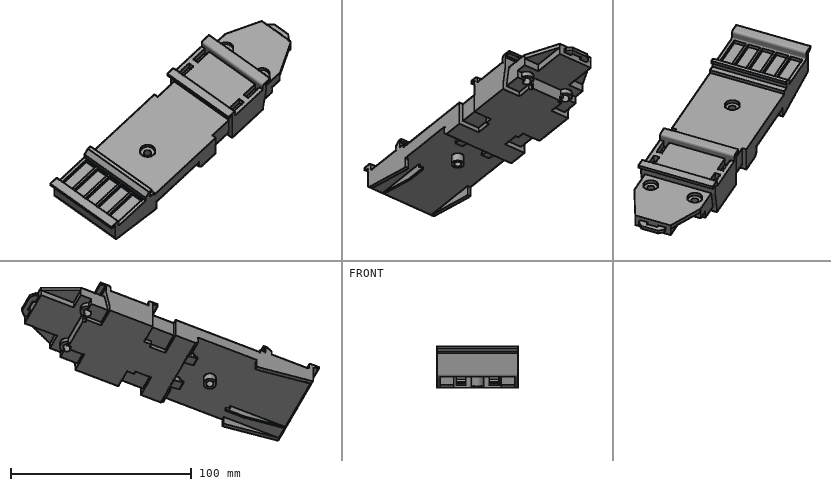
import cadquery as cq

body_width = 45.0
neck_width = 40.1
plate_top = 14.7
plate_bottom = 6.0
rail_seat_rear = 73.8
rail_seat_front = 38.0
shoulder_y = 87.7

bay_front = 101.5
bay_rear = 130.0
bay_floor = 18.7
bay_lip_top = 23.0
bay_lip_thickness = 1.7
bay_front_lip_reach = 3.0
bay_rear_lip_reach = 3.5
bay_lip_chamfer = 0.7
bay_wall = 2.7
bay_slant = 2.2
lip_radius = 1.5

neck_rear = 138.0
foot_height = 3.0
wide_foot_width = 22.3
wide_foot_front = 97.1
wide_foot_rear = 136.5
narrow_foot_width = 18.5

taper_start = 144.5
nose_end = 164.4
nose_tip_width = 21.4
nose_bottom = 7.6
nose_plate_bottom = 12.1
tab_bottom = 10.1
tab_end = 168.6
tab_width = 15.5
tab_chamfer_x = 2.7
tab_chamfer_y = 2.4
tab_slot_width = 6.2
tab_slot_end = 165.9

tail_front = 3.4
tail_rear = 35.9
tail_floor = 16.7
tail_fillet = 1.0
tail_lip_top = 21.7
tail_lip_rear = 6.0
tail_lip_edge = 20.4
tail_lip_bend = (2.0, 19.7)
tail_lip_root = 19.2
tail_nose_bottom = 5.9
tail_corner_radius = 1.7
tail_slope_end = 36.0
end_wall = 2.0

hook_lip_tip = 33.9
hook_lip_rear = 32.7
hook_lip_front = 28.8
hook_lip_crest = 31.7
hook_lip_under = 20.0
hook_lip_shoulder = 19.2

seat_chamfer = 1.7
hook_recess_width = 26.3

pocket_count = 5
pocket_gap = 1.43
pocket_width = 7.0
pocket_front = tail_lip_rear + tail_fillet
pocket_rear = 28.2
pocket_depth = 2.0

slot_outer_x = neck_width / 2
slot_width = 3.2
slot_depth = 4.0
slot_spans = ((bay_front + bay_wall, 114.0), (117.7, bay_rear - bay_wall))

hole_diameter = 4.0
counterbore_diameter = 8.5
counterbore_depth = 2.0
rear_screw_x = 13.3
rear_screw_y = 137.2
rear_boss_diameter = 7.8
rear_boss_bottom = 4.5
front_screw_y = 56.1
front_boss_diameter = 6.9
front_boss_bottom = 1.0

spring_hook_width = 5.0
spring_hook_x = 9.1
spring_hook_reach = 4.7
spring_hook_neck = 2.4
spring_hook_bend = (2.0, 4.7)
spring_hook_tip_top = 3.5
spring_hook_tip_bottom = 2.5
spring_hook_root_bottom = 1.5
fixed_hook_width = 1.0
fixed_hook_x = 12.6
fixed_hook_reach = 2.7
fixed_hook_bottom = 1.3
fixed_hook_tip_top = 2.7
fixed_hook_root_top = 4.0


def box(x0, x1, y0, y1, z0, z1):
    """Axis-aligned block between two opposite corners."""
    return cq.Workplane("XY").box(x1 - x0, y1 - y0, z1 - z0, centered=False).translate((x0, y0, z0))


def centered_box(width, y0, y1, z0, z1):
    """Block centred on X = 0."""
    return box(-width / 2, width / 2, y0, y1, z0, z1)


def across(sketch, width, x_center=0):
    """Extrude a closed (Y, Z) outline along X, centred on x_center."""
    return sketch.close().extrude(width / 2, both=True).translate((x_center, 0, 0))


def side_outline(points):
    """Open outline through (Y, Z) points."""
    return cq.Workplane("YZ").polyline(points)


def round_post(x, y, diameter, z0, z1):
    """Vertical cylinder."""
    return cq.Workplane("XY", origin=(x, y, z0)).circle(diameter / 2).extrude(z1 - z0)


def front_body():
    """Full-width plate with the front lip, the hooked lip and the sloping underside."""
    outline = (
        cq.Workplane("YZ")
        .moveTo(shoulder_y, 0)
        .lineTo(shoulder_y, plate_top)
        .lineTo(tail_rear, plate_top)
        .lineTo(tail_rear, tail_floor)
        .lineTo(hook_lip_rear, tail_floor)
        .lineTo(hook_lip_rear, hook_lip_under)
        .lineTo(hook_lip_tip, hook_lip_under)
        .lineTo(hook_lip_tip, tail_lip_top)
        .lineTo(hook_lip_crest, tail_lip_top)
        .lineTo(hook_lip_front, hook_lip_shoulder)
        .lineTo(hook_lip_front, tail_floor)
        .lineTo(tail_lip_rear + tail_fillet, tail_floor)
        .radiusArc((tail_lip_rear, tail_floor + tail_fillet), tail_fillet)
        .lineTo(tail_lip_rear, tail_lip_top - lip_radius)
        .radiusArc((tail_lip_rear - lip_radius, tail_lip_top), -lip_radius)
        .lineTo(0, tail_lip_top)
        .lineTo(0, tail_lip_edge)
        .lineTo(*tail_lip_bend)
        .lineTo(tail_front, tail_lip_root)
        .lineTo(tail_front, tail_nose_bottom + tail_corner_radius)
        .radiusArc((tail_front + tail_corner_radius, tail_nose_bottom), -tail_corner_radius)
        .lineTo(tail_slope_end, 0)
        .lineTo(rail_seat_front, 0)
        .lineTo(rail_seat_front, plate_bottom)
        .lineTo(rail_seat_rear, plate_bottom)
        .lineTo(rail_seat_rear, seat_chamfer)
        .lineTo(rail_seat_rear + seat_chamfer, 0)
    )
    return across(outline, body_width)


def underside_openings():
    """Hollow under the tail between its end walls, and the recess behind the spring hooks."""
    tail_hollow = centered_box(body_width - 2 * end_wall, tail_front, rail_seat_front, 0, plate_bottom)
    recess_end = rail_seat_rear + seat_chamfer
    hook_recess = centered_box(hook_recess_width, rail_seat_rear, recess_end, 0, plate_bottom)
    return tail_hollow.union(hook_recess)


def bay():
    """Full-width middle block with a lip along its front and rear edges."""
    lip_under = bay_lip_top - bay_lip_thickness
    outline = (
        cq.Workplane("YZ")
        .moveTo(bay_front, 0)
        .lineTo(bay_front, lip_under)
        .lineTo(bay_front - bay_front_lip_reach, lip_under)
        .lineTo(bay_front - bay_front_lip_reach, bay_lip_top)
        .lineTo(bay_front + bay_wall - lip_radius, bay_lip_top)
        .radiusArc((bay_front + bay_wall, bay_lip_top - lip_radius), lip_radius)
        .lineTo(bay_front + bay_wall, bay_floor)
        .lineTo(bay_rear - bay_wall, bay_floor)
        .lineTo(bay_rear - bay_wall, bay_lip_top - lip_radius)
        .radiusArc((bay_rear - bay_wall + lip_radius, bay_lip_top), lip_radius)
        .lineTo(bay_rear + bay_rear_lip_reach, bay_lip_top)
        .lineTo(bay_rear + bay_rear_lip_reach, lip_under)
        .lineTo(bay_rear + bay_lip_chamfer, lip_under)
        .lineTo(bay_rear, lip_under - bay_lip_chamfer)
        .lineTo(bay_rear, plate_top)
        .lineTo(bay_rear - bay_slant, foot_height)
        .lineTo(bay_rear - bay_slant, 0)
    )
    return across(outline, body_width)


def neck():
    """Narrower core through the bay, standing on an inset two-step foot."""
    core = centered_box(neck_width, shoulder_y, neck_rear, foot_height, plate_top)
    wide_foot = centered_box(wide_foot_width, wide_foot_front, wide_foot_rear, 0, foot_height)
    narrow_foot = centered_box(narrow_foot_width, shoulder_y, neck_rear, 0, foot_height)
    return core.union(wide_foot).union(narrow_foot)


def nose():
    """Tapered plate over a straight beam, ending in a slotted tab."""
    root = centered_box(neck_width, neck_rear, taper_start, nose_bottom, plate_top)
    beam = centered_box(nose_tip_width, taper_start, nose_end, nose_bottom, nose_plate_bottom)
    plate = (
        cq.Workplane("XY", origin=(0, 0, nose_plate_bottom))
        .polyline([
            (-neck_width / 2, taper_start),
            (neck_width / 2, taper_start),
            (nose_tip_width / 2, nose_end),
            (-nose_tip_width / 2, nose_end),
        ])
        .close()
        .extrude(plate_top - nose_plate_bottom)
    )
    tab = (
        cq.Workplane("XY", origin=(0, 0, tab_bottom))
        .polyline([
            (-tab_width / 2, nose_end),
            (tab_width / 2, nose_end),
            (tab_width / 2, tab_end - tab_chamfer_y),
            (tab_width / 2 - tab_chamfer_x, tab_end),
            (tab_chamfer_x - tab_width / 2, tab_end),
            (-tab_width / 2, tab_end - tab_chamfer_y),
        ])
        .close()
        .extrude(nose_plate_bottom - tab_bottom)
        .cut(centered_box(tab_slot_width, nose_end, tab_slot_end, tab_bottom, nose_plate_bottom))
    )
    return root.union(beam).union(plate).union(tab)


def spring_hooks():
    """Pair of hooks that grip the mounting rail from the rear of its seat."""
    root = rail_seat_rear + seat_chamfer
    tip = rail_seat_rear - spring_hook_reach
    profile = [
        (root, plate_bottom),
        (tip + spring_hook_neck, plate_bottom),
        (tip + spring_hook_bend[0], spring_hook_bend[1]),
        (tip, spring_hook_tip_top),
        (tip, spring_hook_tip_bottom),
        (root, spring_hook_root_bottom),
    ]
    hook = across(side_outline(profile), spring_hook_width)
    return hook.translate((-spring_hook_x, 0, 0)).union(hook.translate((spring_hook_x, 0, 0)))


def fixed_hook():
    """Thin rib under the tail that follows its slope and ends in a hook at the front of the rail seat."""
    slope = tail_nose_bottom / (tail_slope_end - tail_front - tail_corner_radius)
    tip = rail_seat_front + fixed_hook_reach
    profile = [
        (tail_front + tail_corner_radius, plate_bottom),
        (tail_front + tail_corner_radius, tail_nose_bottom),
        (tail_slope_end - fixed_hook_bottom / slope, fixed_hook_bottom),
        (tip, fixed_hook_bottom),
        (tip, fixed_hook_tip_top),
        (rail_seat_front, fixed_hook_root_top),
        (rail_seat_front, plate_bottom),
    ]
    return across(side_outline(profile), fixed_hook_width, fixed_hook_x)


def bay_slots():
    """Four slots in the bay floor, two along each side."""
    slots = None
    for y0, y1 in slot_spans:
        for x0 in (-slot_outer_x, slot_outer_x - slot_width):
            slot = box(x0, x0 + slot_width, y0, y1, bay_floor - slot_depth, bay_floor)
            slots = slot if slots is None else slots.union(slot)
    return slots


def marking_pockets():
    """Row of shallow pockets in the tail floor."""
    pockets = None
    for index in range(pocket_count):
        x = (index - (pocket_count - 1) / 2) * (pocket_width + pocket_gap)
        pocket = box(x - pocket_width / 2, x + pocket_width / 2, pocket_front, pocket_rear,
                     tail_floor - pocket_depth, tail_floor)
        pockets = pocket if pockets is None else pockets.union(pocket)
    return pockets


result = front_body().cut(underside_openings()).union(spring_hooks()).union(fixed_hook())
result = result.union(bay()).union(neck()).union(nose())
result = result.cut(bay_slots()).cut(marking_pockets())

screws = [
    (-rear_screw_x, rear_screw_y, rear_boss_diameter, rear_boss_bottom),
    (rear_screw_x, rear_screw_y, rear_boss_diameter, rear_boss_bottom),
    (0, front_screw_y, front_boss_diameter, front_boss_bottom),
]
for x, y, boss_diameter, boss_bottom in screws:
    result = result.union(round_post(x, y, boss_diameter, boss_bottom, plate_top))
    result = result.cut(round_post(x, y, hole_diameter, 0, plate_top))
    result = result.cut(round_post(x, y, counterbore_diameter, plate_top - counterbore_depth, plate_top))